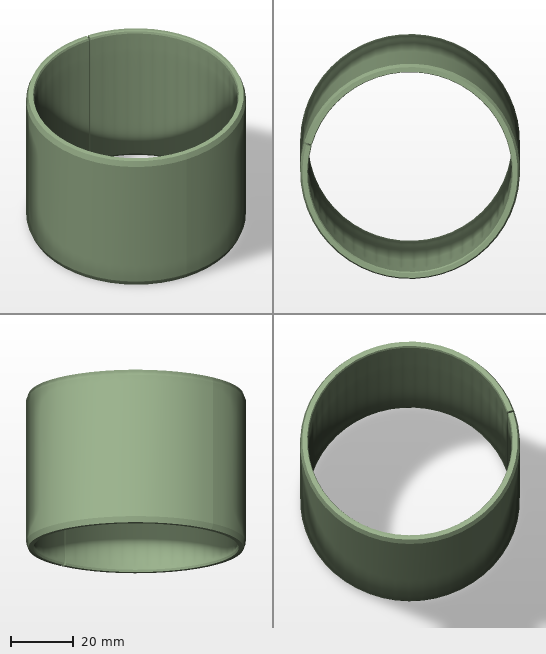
import cadquery as cq

outer_diameter = 70.0
wall = 2.5
length = 50.0
outer_chamfer_height = 1.8
outer_chamfer_depth = 0.7
inner_chamfer_height = 0.7
inner_chamfer_depth = 0.3
slit_width = 0.6

outer_radius = outer_diameter / 2
inner_radius = outer_radius - wall
half_length = length / 2


def wall_ring():
    """Revolve the chamfered wall section around Z."""
    section = [
        (inner_radius, -half_length + inner_chamfer_height),
        (inner_radius + inner_chamfer_depth, -half_length),
        (outer_radius - outer_chamfer_depth, -half_length),
        (outer_radius, -half_length + outer_chamfer_height),
        (outer_radius, half_length - outer_chamfer_height),
        (outer_radius - outer_chamfer_depth, half_length),
        (inner_radius + inner_chamfer_depth, half_length),
        (inner_radius, half_length - inner_chamfer_height),
    ]
    return cq.Workplane("XZ").polyline(section).close().revolve(360, (0, 0, 0), (0, 1, 0))


def slit():
    """Thin full-length cut through the wall on the -X side, with one face on the XZ plane."""
    return cq.Workplane("XY").box(
        outer_diameter, slit_width, length, centered=(True, False, True)
    ).translate((-outer_radius, 0, 0))


result = wall_ring().cut(slit())